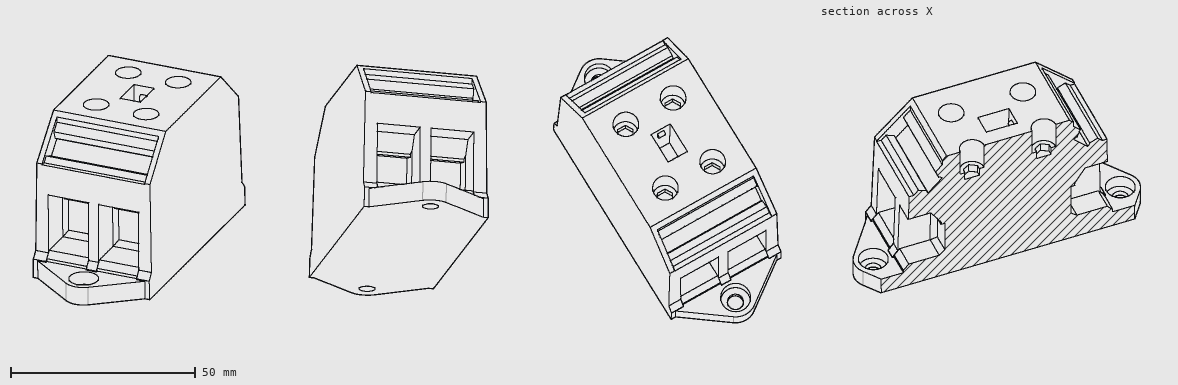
import cadquery as cq
import math


overall_length = 83.7
base_width = 34.7
body_height = 44.9
side_draft = 0.8

base_half_length = 31.4
base_step_z = 5.6
flare_half_length = 29.8
flare_top_z = 7.5
shoulder_half_length = 29.1
top_half_length = 18.1

ear_thickness = 5.35
ear_root_half_width = 16.0
ear_tip_radius = 5.5
ear_hole_diameter = 4.35
ear_counterbore_diameter = 8.1
ear_counterbore_depth = 3.8

entry_inner_x = 1.5
entry_outer_x = 13.5
entry_floor_z = 8.0
entry_ceiling_z = 24.9
entry_slope_start_y = 22.7
entry_slope_end_y = 19.7
entry_slope_end_z = 20.2
entry_taper_start_y = 20.25
entry_end_y = 18.6
entry_end_inset = 1.0
entry_end_floor_z = 9.45
entry_end_top_z = 19.3
sill_start_y = 29.2
sill_end_y = 30.8
sill_end_z = 6.2

window_rim = 1.6
window_top_y = 19.3
upper_lip_y = 21.35
upper_lip_foot_y = 20.4
channel_top_y = 19.3
channel_bottom_y = 23.5
lower_lip_foot_y = 24.0
lower_lip_y = 26.4
window_bottom_y = 27.8
lip_drop = 1.6
lip_foot_drop = 4.9
channel_drop = 6.5

screw_x = 7.45
screw_y = 10.55
screw_well_diameter = 6.95
screw_well_depth = 8.4
hex_across_flats = 4.2
hex_depth = 2.5
slot_width = 6.0
slot_length = 9.1
slot_depth = 16.7
nub_width = 2.0
nub_radius = 1.0
nub_center_depth = 3.6

clearance = 8.4


def shoulder_z(y, drop=0.0):
    """Height of the 45 degree shoulder plane at y, lowered by drop."""
    return body_height + top_half_length - y - drop


def drafted_slab(base_half_width, height):
    """Block with the side draft on its X faces, long enough to span the body."""
    top_half_width = base_half_width - height * math.tan(math.radians(side_draft))
    outline = [
        (-base_half_width, 0),
        (base_half_width, 0),
        (top_half_width, height),
        (-top_half_width, height),
    ]
    return cq.Workplane("XZ").polyline(outline).close().extrude(overall_length / 2, both=True)


def extrude_along_x(outline, x_start, x_end):
    """Prism from a YZ outline between two X positions."""
    return cq.Workplane("YZ", origin=(x_start, 0, 0)).polyline(outline).close().extrude(x_end - x_start)


def both_ends(shape):
    """Shape at the +Y end together with its mirror image at the -Y end."""
    return shape.union(shape.mirror("XZ"))


def make_body():
    half_outline = [
        (base_half_length, 0),
        (base_half_length, base_step_z),
        (flare_half_length, flare_top_z),
        (shoulder_half_length, shoulder_z(shoulder_half_length)),
        (top_half_length, body_height),
    ]
    outline = half_outline + [(-y, z) for y, z in reversed(half_outline)]
    profile = extrude_along_x(outline, -base_width / 2, base_width / 2)
    return profile.intersect(drafted_slab(base_width / 2, body_height))


def make_ear():
    """Triangular ear with a rounded tip and a counterbored screw hole."""
    tip_y = overall_length / 2
    hole_y = tip_y - ear_tip_radius
    root_distance = math.hypot(ear_root_half_width, base_half_length - hole_y)
    tangent_angle = math.acos(ear_tip_radius / root_distance) + math.atan2(
        base_half_length - hole_y, ear_root_half_width
    )
    tangent_x = ear_tip_radius * math.cos(tangent_angle)
    tangent_y = hole_y + ear_tip_radius * math.sin(tangent_angle)
    ear = (
        cq.Workplane("XY")
        .moveTo(-ear_root_half_width, sill_start_y)
        .lineTo(ear_root_half_width, sill_start_y)
        .lineTo(ear_root_half_width, base_half_length)
        .lineTo(tangent_x, tangent_y)
        .threePointArc((0, tip_y), (-tangent_x, tangent_y))
        .lineTo(-ear_root_half_width, base_half_length)
        .close()
        .extrude(ear_thickness)
    )
    return (
        ear.faces(">Z").workplane(origin=(0, hole_y, ear_thickness))
        .cboreHole(ear_hole_diameter, ear_counterbore_diameter, ear_counterbore_depth)
    )


def make_entry_cut():
    """Wire entry at +X, +Y: stepped ceiling, tapered end and a lowered sill."""
    outer_y = base_half_length + clearance
    side_outline = [
        (entry_end_y, entry_end_floor_z),
        (entry_taper_start_y, entry_floor_z),
        (sill_start_y, entry_floor_z),
        (sill_end_y, sill_end_z),
        (sill_end_y, ear_thickness),
        (outer_y, ear_thickness),
        (outer_y, entry_ceiling_z),
        (entry_slope_start_y, entry_ceiling_z),
        (entry_slope_end_y, entry_slope_end_z),
        (entry_slope_end_y, entry_end_top_z),
        (entry_end_y, entry_end_top_z),
    ]
    plan_outline = [
        (entry_inner_x, outer_y),
        (entry_inner_x, entry_taper_start_y),
        (entry_inner_x + entry_end_inset, entry_end_y),
        (entry_outer_x - entry_end_inset, entry_end_y),
        (entry_outer_x, entry_taper_start_y),
        (entry_outer_x, outer_y),
    ]
    passage = extrude_along_x(side_outline, entry_inner_x, entry_outer_x)
    plan = cq.Workplane("XY").polyline(plan_outline).close().extrude(body_height)
    return passage.intersect(plan)


def make_window_cut():
    """Label window across the +Y shoulder with an undercut central channel."""
    outer_y = shoulder_half_length + clearance
    outer_z = body_height + clearance
    outline = [
        (window_top_y, outer_z),
        (window_top_y, shoulder_z(window_top_y, lip_drop)),
        (upper_lip_y, shoulder_z(upper_lip_y, lip_drop)),
        (upper_lip_foot_y, shoulder_z(upper_lip_foot_y, lip_foot_drop)),
        (channel_top_y, shoulder_z(channel_top_y, channel_drop)),
        (channel_bottom_y, shoulder_z(channel_bottom_y, channel_drop)),
        (lower_lip_foot_y, shoulder_z(lower_lip_foot_y, lip_foot_drop)),
        (lower_lip_y, shoulder_z(lower_lip_y, lip_drop)),
        (window_bottom_y, shoulder_z(window_bottom_y, lip_drop)),
        (outer_y, shoulder_z(window_bottom_y, lip_drop)),
        (outer_y, outer_z),
    ]
    cut = extrude_along_x(outline, -base_width / 2, base_width / 2)
    return cut.intersect(drafted_slab(base_width / 2 - window_rim, outer_z))


def make_screw_cuts():
    """Four round wells, each with the hex socket of the screw at its bottom."""
    centers = [(x, y) for x in (-screw_x, screw_x) for y in (-screw_y, screw_y)]
    hex_across_corners = hex_across_flats / math.cos(math.radians(30))
    well_floor = cq.Workplane("XY", origin=(0, 0, body_height - screw_well_depth))
    wells = well_floor.pushPoints(centers).circle(screw_well_diameter / 2).extrude(screw_well_depth)
    hexagon = cq.Sketch().regularPolygon(hex_across_corners / 2, 6, angle=30)
    sockets = well_floor.pushPoints(centers).placeSketch(hexagon).extrude(-hex_depth)
    return wells.union(sockets)


def make_slot_cut():
    """Rectangular centre slot with a rounded catch nub on each end wall."""
    slot = cq.Workplane("XY", origin=(0, 0, body_height - slot_depth)).rect(
        slot_width, slot_length
    ).extrude(slot_depth)
    nubs = (
        cq.Workplane("YZ", origin=(0, 0, body_height - nub_center_depth))
        .pushPoints([(-slot_length / 2, 0), (slot_length / 2, 0)])
        .circle(nub_radius)
        .extrude(nub_width / 2, both=True)
    )
    return slot.cut(nubs)


entry_pair = make_entry_cut().union(make_entry_cut().mirror("YZ"))
upright = (
    make_body()
    .cut(both_ends(entry_pair))
    .cut(both_ends(make_window_cut()))
    .cut(make_screw_cuts())
    .cut(make_slot_cut())
    .union(both_ends(make_ear()))
)

result = upright.rotate((0, 0, 0), (0, -1, 0), side_draft)